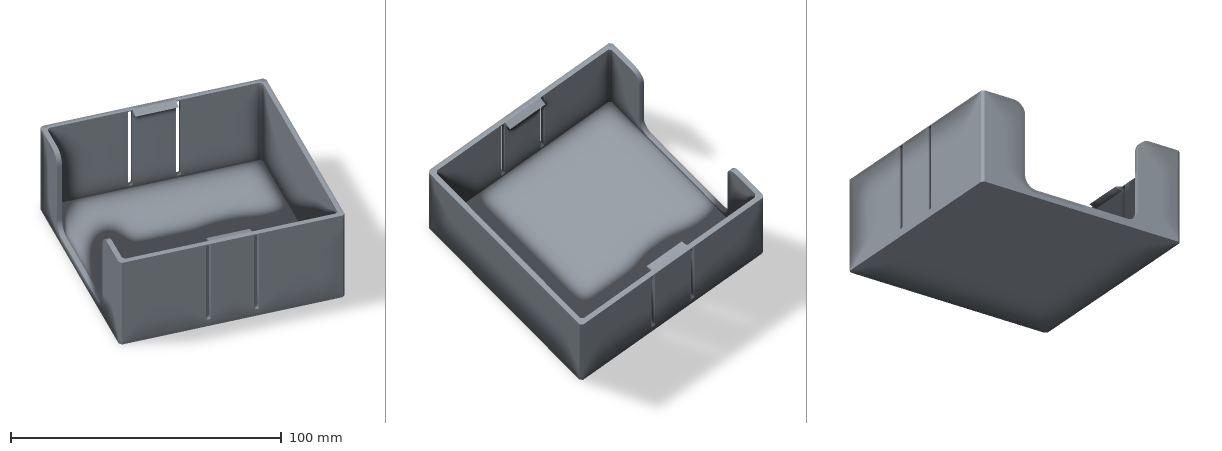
import cadquery as cq

SIDE = 88.5
HEIGHT = 38.0
WALL = 2.0
FLOOR = 2.0
CORNER_CHAMFER = 1.0

OPENING_WIDTH = 50.45
OPENING_SILL = 3.0
OPENING_RADIUS = 5.05

TAB_WIDTH = 17.0
SLOT_WIDTH = 1.95
SLOT_BOTTOM = 3.0
SLOT_BRIDGE = 0.4

CATCH_REACH = 3.0
CATCH_HEIGHT = 1.95


def make_body():
    outer = cq.Workplane("XY").box(SIDE, SIDE, HEIGHT, centered=(True, True, False))
    outer = outer.edges("|Z").chamfer(CORNER_CHAMFER)
    inner_side = SIDE - 2 * WALL
    cavity = cq.Workplane("XY").workplane(offset=FLOOR)
    cavity = cavity.box(inner_side, inner_side, HEIGHT, centered=(True, True, False))
    return outer.cut(cavity.edges("|Z").chamfer(CORNER_CHAMFER))


def make_opening():
    """U-shaped cutter with rounded lower corners and flared, rounded upper corners."""
    half = OPENING_WIDTH / 2
    r = OPENING_RADIUS
    return (
        cq.Workplane("XZ", origin=(0, -SIDE / 2 + WALL, 0))
        .moveTo(-half - r, HEIGHT)
        .radiusArc((-half, HEIGHT - r), r)
        .lineTo(-half, OPENING_SILL + r)
        .radiusArc((-half + r, OPENING_SILL), -r)
        .lineTo(half - r, OPENING_SILL)
        .radiusArc((half, OPENING_SILL + r), -r)
        .lineTo(half, HEIGHT - r)
        .radiusArc((half + r, HEIGHT), r)
        .close()
        .extrude(WALL)
    )


def make_slot(y):
    """Round-bottomed slot cutter running through both side walls."""
    slot_top = HEIGHT - SLOT_BRIDGE
    radius = SLOT_WIDTH / 2
    return (
        cq.Workplane("YZ", origin=(-SIDE / 2, y, 0))
        .moveTo(-radius, slot_top)
        .lineTo(-radius, SLOT_BOTTOM + radius)
        .threePointArc((0, SLOT_BOTTOM), (radius, SLOT_BOTTOM + radius))
        .lineTo(radius, slot_top)
        .close()
        .extrude(SIDE)
    )


def make_catch():
    """Wedge on the -X wall, tapering from the rim and from below to a tip at mid-height."""
    wall_face = -SIDE / 2 + WALL
    return (
        cq.Workplane("XZ", origin=(0, TAB_WIDTH / 2, 0))
        .moveTo(wall_face, HEIGHT)
        .lineTo(wall_face + CATCH_REACH, HEIGHT - CATCH_HEIGHT / 2)
        .lineTo(wall_face, HEIGHT - CATCH_HEIGHT)
        .close()
        .extrude(TAB_WIDTH)
    )


result = make_body().cut(make_opening())
slot_offset = (TAB_WIDTH + SLOT_WIDTH) / 2
for slot_y in (-slot_offset, slot_offset):
    result = result.cut(make_slot(slot_y))

catch = make_catch()
result = result.union(catch).union(catch.mirror("YZ"))